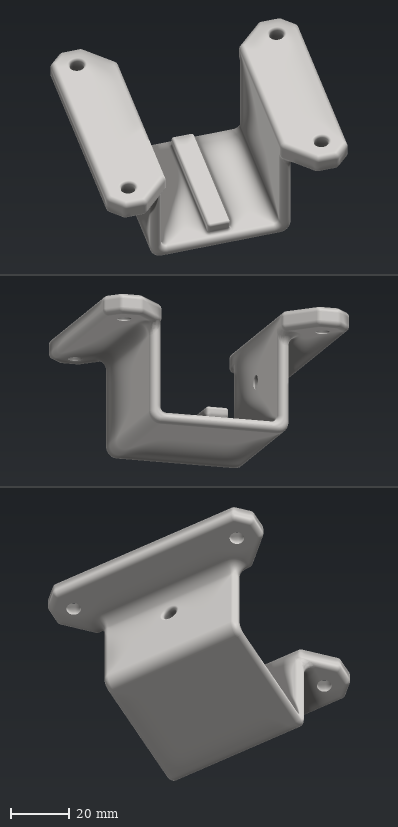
import cadquery as cq

total_depth = 87.0
total_height = 42.0
flange_depth = 22.5
flange_thickness = 7.05
front_flange_width = 80.0
rear_flange_width = 72.0
channel_width = 52.0
wall = 4.0

inner_corner_cut = 10.0
outer_corner_cut = 5.0

clearance = 0.01

edge_radius = wall / 2 - clearance
flange_root_radius = 4.0
outer_bend_radius = 4.0
inner_bend_radius = 2.0

pad_length = 46.0
pad_depth = 8.0
pad_height = 4.0
pad_radius = 1.0

hole_diameter = 5.0
hole_mouth_radius = 1.05
front_hole_spacing = 63.5
rear_hole_spacing = 55.5
hole_row_distance = 69.9
wall_hole_drop = 17.75

flange_bottom = total_height - flange_thickness
wall_top = flange_bottom + flange_thickness / 2
inner_half_depth = total_depth / 2 - flange_depth
outer_half_depth = inner_half_depth + wall
FRONT = -1
REAR = 1


def make_channel():
    """U-shaped channel with rounded bends, its walls reaching up into the flanges."""
    outside = (
        cq.Workplane("XY")
        .box(channel_width, 2 * outer_half_depth, wall_top, centered=(True, True, False))
        .edges("|X and <Z")
        .fillet(outer_bend_radius)
    )
    inside = (
        cq.Workplane("XY")
        .workplane(offset=wall)
        .box(channel_width, 2 * inner_half_depth, wall_top, centered=(True, True, False))
        .edges("|X and <Z")
        .fillet(inner_bend_radius)
    )
    return outside.cut(inside)


def make_flange(width, side):
    """Sharp-edged octagonal flange whose inner edge is flush with the inside of its wall."""
    inner_y = side * inner_half_depth
    outer_y = side * total_depth / 2
    half = width / 2
    right_half = [
        (half - inner_corner_cut, inner_y),
        (half, inner_y + side * inner_corner_cut),
        (half, outer_y - side * outer_corner_cut),
        (half - outer_corner_cut, outer_y),
    ]
    left_half = [(-x, y) for x, y in reversed(right_half)]
    return (
        cq.Workplane("XY")
        .workplane(offset=flange_bottom)
        .polyline(right_half + left_half)
        .close()
        .extrude(flange_thickness)
    )


def edges_between(low, high):
    """Selector for the edges whose middle lies in the box between two corners."""
    return cq.selectors.BoxSelector(low, high)


def root_edges(side):
    """Edges where the outside of a wall meets the underside of its flange."""
    return edges_between(
        (-channel_width, side * (inner_half_depth + clearance), flange_bottom - clearance),
        (channel_width, side * (outer_half_depth + clearance), flange_bottom + clearance),
    )


def make_bracket():
    """Channel with both flanges, its outer edges and the flange roots rounded."""
    body = make_channel().union(make_flange(front_flange_width, FRONT))
    bend_lines = edges_between(
        (-clearance, -total_depth, -clearance),
        (clearance, total_depth, wall + outer_bend_radius),
    )
    rear_wall_top = edges_between(
        (-channel_width, 0, wall_top - clearance),
        (channel_width, total_depth, wall_top + clearance),
    )
    left_alone = root_edges(FRONT) + bend_lines + rear_wall_top
    body = body.edges(cq.Selector() - left_alone).fillet(edge_radius)

    rear_flange = make_flange(rear_flange_width, REAR).edges().fillet(edge_radius)
    body = body.union(rear_flange)
    return body.edges(root_edges(FRONT) + root_edges(REAR)).fillet(flange_root_radius)


def add_pad(body):
    """Raised pad across the channel floor, with a rounded foot."""
    pad = (
        cq.Workplane("XY")
        .box(pad_length, pad_depth, wall + pad_height, centered=(True, True, False))
        .edges("|Z or >Z")
        .fillet(pad_radius)
    )
    foot_edges = edges_between(
        (-pad_length / 2 - clearance, -pad_depth / 2 - clearance, wall - clearance),
        (pad_length / 2 + clearance, pad_depth / 2 + clearance, wall + clearance),
    )
    return body.union(pad).edges(foot_edges).fillet(pad_radius)


def cut_flange_holes(body):
    """Pair of vertical holes through each flange, with rounded upper mouths."""
    for side, spacing in ((FRONT, front_hole_spacing), (REAR, rear_hole_spacing)):
        y = side * hole_row_distance / 2
        drill = (
            cq.Workplane("XY")
            .pushPoints([(-spacing / 2, y), (spacing / 2, y)])
            .circle(hole_diameter / 2)
            .extrude(total_height)
        )
        body = body.cut(drill)
    return body.faces(">Z").edges("%CIRCLE").fillet(hole_mouth_radius)


def cut_wall_hole(body):
    """Hole through the front wall only, with a rounded outer mouth."""
    hole_z = total_height - wall_hole_drop
    drill = (
        cq.Workplane("XZ", origin=(0, -inner_half_depth + wall, hole_z))
        .circle(hole_diameter / 2)
        .extrude(3 * wall)
    )
    reach = hole_diameter / 2 + clearance
    mouth_edge = edges_between(
        (-reach, -outer_half_depth - clearance, hole_z - reach),
        (reach, -outer_half_depth + clearance, hole_z + reach),
    )
    return body.cut(drill).edges(mouth_edge).fillet(hole_mouth_radius)


result = cut_wall_hole(cut_flange_holes(add_pad(make_bracket())))